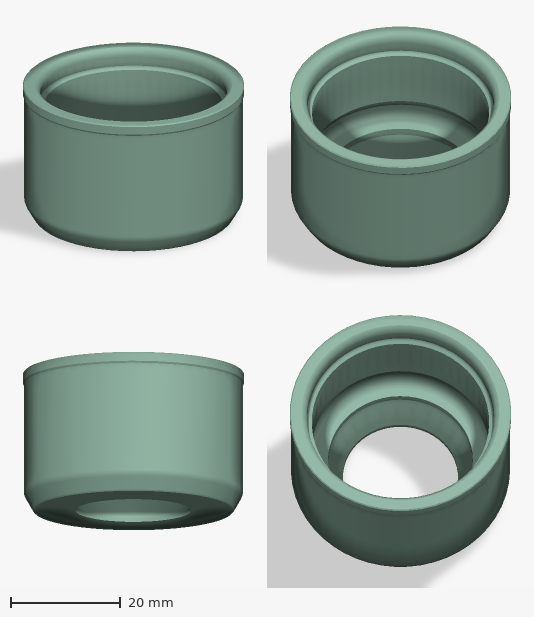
import cadquery as cq
import math

height = 25.5

collar_radius = 40.4 / 2
body_radius = 40 / 2
collar_height = 2.0
collar_edge_chamfer = 0.2
collar_underside_rise = 0.32
nose_angle = math.radians(30)
nose_tip_radius = 18.4
nose_chamfer = 0.2
nose_blend_radius = 2.0

mouth_radius = 36.08 / 2
throat_radius = 34.15 / 2
mouth_round_depth = 1.55
throat_depth = 3.3
ledge_drop = 0.5

bore_radius = 32.35 / 2
bore_end_depth = 14.5
relief_radius = 34.25 / 2
relief_angle = math.radians(30)
floor_depth = 18.62
floor_fillet = 1.45

passage_radius = 26.42 / 2
passage_depth = 1.37
outlet_radius = 21 / 2
seat_angle = math.radians(30)

floor_z = height - floor_depth
seat_top_z = floor_z - passage_depth
seat_bottom_z = seat_top_z - (passage_radius - outlet_radius) / math.tan(seat_angle)
bore_end_z = height - bore_end_depth
relief_z = bore_end_z - (relief_radius - bore_radius) / math.tan(relief_angle)
throat_end_z = height - throat_depth
mouth_round_z = height - mouth_round_depth
collar_bottom_z = height - collar_height
nose_top_z = nose_chamfer + (body_radius - nose_tip_radius) / math.tan(nose_angle)

blend_length = nose_blend_radius * math.tan(nose_angle / 2)
blend_center_radius = body_radius - nose_blend_radius
blend_top_z = nose_top_z + blend_length


def blend_point(angle):
    """Point on the nose blend, at an angle below the horizontal."""
    return (
        blend_center_radius + nose_blend_radius * math.cos(angle),
        blend_top_z - nose_blend_radius * math.sin(angle),
    )


mouth_width = mouth_radius - throat_radius
mouth_arc_radius = (mouth_width**2 + mouth_round_depth**2) / (2 * mouth_width)
mouth_mid_angle = math.asin(mouth_round_depth / mouth_arc_radius) / 2
mouth_mid = (
    throat_radius + mouth_arc_radius * (1 - math.cos(mouth_mid_angle)),
    mouth_round_z + mouth_arc_radius * math.sin(mouth_mid_angle),
)

fillet_center_radius = relief_radius - floor_fillet
fillet_center_z = floor_z + floor_fillet
floor_fillet_mid = (
    fillet_center_radius + floor_fillet * math.sqrt(0.5),
    fillet_center_z - floor_fillet * math.sqrt(0.5),
)

half_section = (
    cq.Workplane("XZ")
    .moveTo(outlet_radius, 0)
    .lineTo(nose_tip_radius - nose_chamfer, 0)
    .lineTo(nose_tip_radius, nose_chamfer)
    .lineTo(*blend_point(nose_angle))
    .threePointArc(blend_point(nose_angle / 2), blend_point(0))
    .lineTo(body_radius, collar_bottom_z)
    .lineTo(collar_radius, collar_bottom_z + collar_underside_rise)
    .lineTo(collar_radius, height - collar_edge_chamfer)
    .lineTo(collar_radius - collar_edge_chamfer, height)
    .lineTo(mouth_radius, height)
    .threePointArc(mouth_mid, (throat_radius, mouth_round_z))
    .lineTo(throat_radius, throat_end_z)
    .lineTo(bore_radius, throat_end_z - ledge_drop)
    .lineTo(bore_radius, bore_end_z)
    .lineTo(relief_radius, relief_z)
    .lineTo(relief_radius, fillet_center_z)
    .threePointArc(floor_fillet_mid, (fillet_center_radius, floor_z))
    .lineTo(passage_radius, floor_z)
    .lineTo(passage_radius, seat_top_z)
    .lineTo(outlet_radius, seat_bottom_z)
    .close()
)

result = half_section.revolve(360, (0, 0, 0), (0, 1, 0))